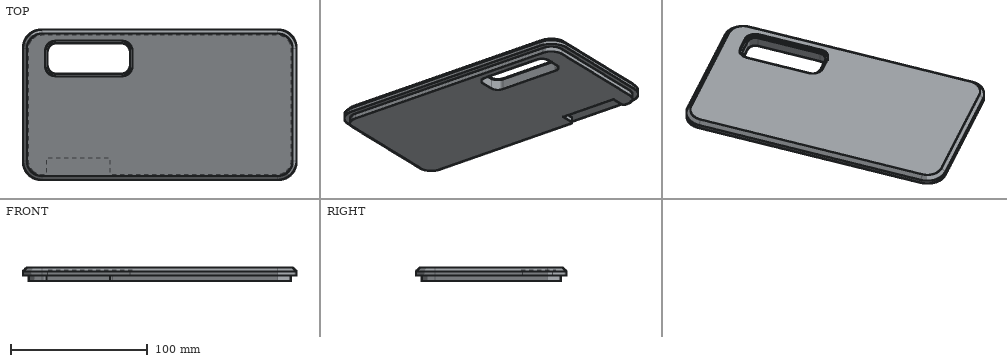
import cadquery as cq

COVER_LENGTH = 200.0
COVER_WIDTH = 110.0
COVER_CORNER_RADIUS = 14.0
TOP_CHAMFER = 3.0

PLUG_HEIGHT = 4.0
TOTAL_HEIGHT = 10.0
COVER_THICKNESS = TOTAL_HEIGHT - PLUG_HEIGHT
PLUG_INSET = 4.2
PLUG_LENGTH = COVER_LENGTH - 2 * PLUG_INSET
PLUG_WIDTH = COVER_WIDTH - 2 * PLUG_INSET
PLUG_CORNER_RADIUS = COVER_CORNER_RADIUS - PLUG_INSET

REBATE_LENGTH = 64.0
REBATE_WIDTH = 26.0
REBATE_CORNER_RADIUS = 8.0
REBATE_DEPTH = 2.0
LEDGE_WIDTH = 2.0
WINDOW_LENGTH = REBATE_LENGTH - 2 * LEDGE_WIDTH
WINDOW_WIDTH = REBATE_WIDTH - 2 * LEDGE_WIDTH
WINDOW_CORNER_RADIUS = REBATE_CORNER_RADIUS - LEDGE_WIDTH
WINDOW_CENTER_X = -51.8
WINDOW_CENTER_Y = 33.8

NOTCH_MOUTH_LENGTH = 50.0
NOTCH_MOUTH_RADIUS = 2.0
NOTCH_LENGTH = NOTCH_MOUTH_LENGTH - 2 * NOTCH_MOUTH_RADIUS
NOTCH_DEPTH = 12.0
NOTCH_CENTER_X = -59.5


def rounded_plate(length, width, height, corner_radius, center=(0.0, 0.0), bottom=0.0):
    """Flat plate with rounded vertical corners, standing on height `bottom`."""
    plate = cq.Workplane("XY").box(length, width, height, centered=(True, True, False))
    return plate.edges("|Z").fillet(corner_radius).translate((*center, bottom))


def make_cover():
    cover = rounded_plate(
        COVER_LENGTH, COVER_WIDTH, COVER_THICKNESS, COVER_CORNER_RADIUS, bottom=PLUG_HEIGHT
    )
    return cover.faces(">Z").edges().chamfer(TOP_CHAMFER)


def make_notch():
    """Notch tool whose side walls flare into the plug's front face with tangent arcs."""
    front = -PLUG_WIDTH / 2
    floor = front + NOTCH_DEPTH
    arc_end = front + NOTCH_MOUTH_RADIUS
    left = NOTCH_CENTER_X - NOTCH_LENGTH / 2
    right = NOTCH_CENTER_X + NOTCH_LENGTH / 2
    return (
        cq.Workplane("XY")
        .moveTo(left, floor)
        .lineTo(right, floor)
        .lineTo(right, arc_end)
        .radiusArc((right + NOTCH_MOUTH_RADIUS, front), -NOTCH_MOUTH_RADIUS)
        .lineTo(left - NOTCH_MOUTH_RADIUS, front)
        .radiusArc((left, arc_end), -NOTCH_MOUTH_RADIUS)
        .close()
        .extrude(PLUG_HEIGHT)
    )


def make_plug():
    plug = rounded_plate(PLUG_LENGTH, PLUG_WIDTH, PLUG_HEIGHT, PLUG_CORNER_RADIUS)
    return plug.cut(make_notch())


def make_window():
    """Stepped tool: the through opening plus the wider rebate at the top."""
    center = (WINDOW_CENTER_X, WINDOW_CENTER_Y)
    opening = rounded_plate(
        WINDOW_LENGTH, WINDOW_WIDTH, TOTAL_HEIGHT, WINDOW_CORNER_RADIUS, center
    )
    rebate = rounded_plate(
        REBATE_LENGTH,
        REBATE_WIDTH,
        REBATE_DEPTH,
        REBATE_CORNER_RADIUS,
        center,
        TOTAL_HEIGHT - REBATE_DEPTH,
    )
    return opening.union(rebate)


result = make_cover().union(make_plug()).cut(make_window())